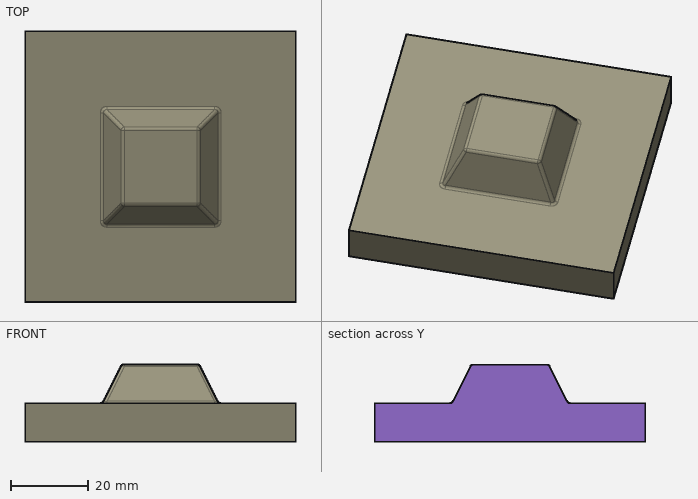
import cadquery as cq

plate_side = 70.0
plate_thickness = 10.0

boss_height = plate_thickness
boss_base_side = 30.0
boss_top_side = 20.0
edge_radius = 1.0

plate_top = plate_thickness


def make_plate():
    return cq.Workplane("XY").box(
        plate_side, plate_side, plate_thickness, centered=(True, True, False)
    )


def make_boss():
    """Square frustum with rounded slanted corners and a rounded top rim."""
    frustum = (
        cq.Workplane("XY", origin=(0, 0, plate_top))
        .rect(boss_base_side, boss_base_side)
        .workplane(offset=boss_height)
        .rect(boss_top_side, boss_top_side)
        .loft(ruled=True)
    )
    return frustum.edges("not <Z").fillet(edge_radius)


def round_boss_foot(body):
    """Fillet the boss outline where it meets the plate."""
    reach = boss_base_side / 2 + edge_radius
    foot_zone = cq.selectors.BoxSelector(
        (-reach, -reach, plate_top - edge_radius),
        (reach, reach, plate_top + edge_radius),
        boundingbox=True,
    )
    return body.edges(foot_zone).fillet(edge_radius)


result = round_boss_foot(make_plate().union(make_boss()))